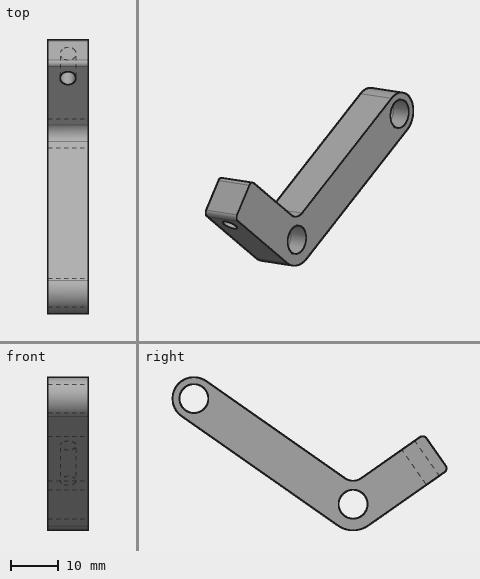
import cadquery as cq
import math

thickness = 8.5
arm_width = 9.0
arm_tilt = math.radians(35.0)
hole_spacing = 40.0
short_arm_length = 20.53

elbow_outer_radius = 5.5
elbow_inner_radius = 3.0
end_corner_radius = 1.0
bore_diameter = 6.0
cross_hole_diameter = 3.3
cross_hole_end_distance = 4.0

pivot_offset = elbow_outer_radius - arm_width / 2
tip_radius = arm_width / 2
tip_along = math.sqrt(hole_spacing**2 - pivot_offset**2)


def arm_point(side, along, across):
    """(Y, Z) of a point on an arm; side is +1 for the short arm (+Y), -1 for the long arm (-Y).

    'along' runs from the pivot up the arm, 'across' is positive towards the inside of the V.
    """
    y = along * math.cos(arm_tilt) - across * math.sin(arm_tilt)
    z = along * math.sin(arm_tilt) + across * math.cos(arm_tilt)
    return (side * y, z)


def make_lever():
    lower = -elbow_outer_radius
    upper = arm_width - elbow_outer_radius
    outer_vertex = (0, lower / math.cos(arm_tilt))
    inner_vertex = (0, upper / math.cos(arm_tilt))
    blank = (
        cq.Workplane("YZ")
        .moveTo(*outer_vertex)
        .lineTo(*arm_point(1, short_arm_length, lower))
        .lineTo(*arm_point(1, short_arm_length, upper))
        .lineTo(*inner_vertex)
        .lineTo(*arm_point(-1, tip_along, upper))
        .threePointArc(
            arm_point(-1, tip_along + tip_radius, -pivot_offset),
            arm_point(-1, tip_along, lower),
        )
        .close()
        .extrude(thickness / 2, both=True)
    )

    def round_edges(body, radius, *corners):
        for corner in corners:
            body = body.edges(cq.selectors.NearestToPointSelector((0, *corner))).fillet(radius)
        return body

    blank = round_edges(blank, elbow_outer_radius, outer_vertex)
    blank = round_edges(blank, elbow_inner_radius, inner_vertex)
    return round_edges(
        blank,
        end_corner_radius,
        arm_point(1, short_arm_length, lower),
        arm_point(1, short_arm_length, upper),
    )


def make_bores():
    """Pivot and tip holes, right through the thickness."""
    return (
        cq.Workplane("YZ")
        .pushPoints([(0, 0), arm_point(-1, tip_along, -pivot_offset)])
        .circle(bore_diameter / 2)
        .extrude(thickness, both=True)
    )


def make_cross_hole():
    """Hole through the short arm, square to its upper face and centred in the thickness."""
    centre = arm_point(1, short_arm_length - cross_hole_end_distance, -pivot_offset)
    axis = cq.Plane(
        origin=(0, *centre),
        xDir=(1, 0, 0),
        normal=(0, -math.sin(arm_tilt), math.cos(arm_tilt)),
    )
    return cq.Workplane(axis).circle(cross_hole_diameter / 2).extrude(arm_width, both=True)


result = make_lever().cut(make_bores()).cut(make_cross_hole())